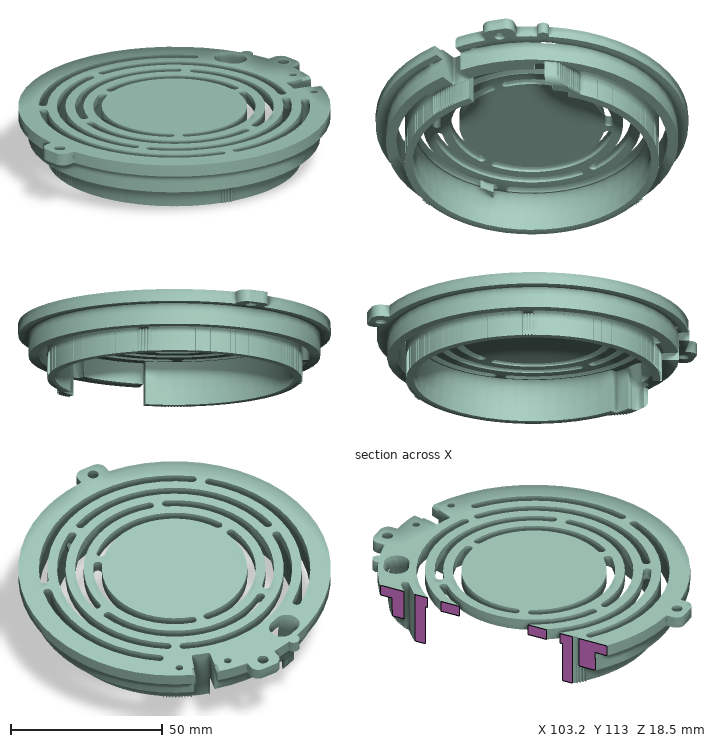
import cadquery as cq
import math

total_height = 18.5
flange_thickness = 4.0
body_height = 7.0
ring_height = total_height - flange_thickness - body_height
flange_bottom = total_height - flange_thickness

flange_radius = 51.6
body_radius = 48.2
cavity_radius = 39.4

tooth_count = 260
tooth_root_radius = 41.95
tooth_height = 0.6
tooth_share = 0.35

plate_thickness = 4.0
slot_width = 2.8
inner_slot_radius = 25.4
slot_pitch = 6.0
slot_angles = [
    [(84.8, 192.2), (204.9, 312.8), (325.2, 432.6)],
    [(14.8, 124.1), (134.2, 244.3), (254.5, 364.1)],
    [(63.9, 175.2), (184.0, 295.5), (304.0, 415.6)],
    [(127.5, 224.0), (231.5, 336.8), (344.3, 412.6)],
]

tab_width = 10.6
tab_reach = 56.5
tab_corner_radius = 3.0
tab_hole_offset = 52.6
tab_hole_diameter = 3.7
front_tab_x = 0.0
back_tab_x = -2.65

nub_radius = 2.0
nub_center = (-16.5, 49.1)

notch_angles = (66.9, 75.2)
notch_floor_radius = 42.1
notch_corner_radius = 0.8
notch_chamfer = 0.8

pilot_diameter = 2.5
pilot_centers = [(7.6, 47.1), (23.05, 41.85)]

cable_angle = 112.0
cable_top_radius = 45.5
cable_top_length = 11.0
cable_top_width = 8.4
cable_top_corner = 4.1
cable_bottom_radius = 43.9
cable_bottom_length = 6.4
cable_bottom_width = 3.9
cable_bottom_corner = 1.5
cable_bottom_shift = 1.9
guide_outer_radius = 47.3
guide_width = 4.0
guide_corner_radius = 3.0
guide_flank_angle = 127.0
guide_inner_angle = 112.0

gap_overlap = 2.0
gap_inner_radius = cavity_radius - gap_overlap
ring_gap_angles = (notch_angles[1], 114.0)
ring_gap_radius = 42.6
guide_recess_angles = (114.0, 122.0)
guide_recess_radius = 41.8

rib_outline = [(24.3, -26.2), (22.1, -32.9), (21.6, -32.9), (20.9, -29.8)]
rib_height = 3.0


def polar(radius, angle):
    """Point at a radius and an angle in degrees."""
    return (radius * math.cos(math.radians(angle)), radius * math.sin(math.radians(angle)))


def disc(radius, bottom, height):
    return cq.Workplane("XY").workplane(offset=bottom).circle(radius).extrude(height)


def toothed_ring():
    """Lower ring as a solid drum with square teeth around it."""
    pitch_angle = 360.0 / tooth_count
    tip_radius = tooth_root_radius + tooth_height
    outline = []
    for tooth in range(tooth_count):
        start = tooth * pitch_angle
        end = start + tooth_share * pitch_angle
        outline.append(polar(tooth_root_radius, start))
        outline.append(polar(tip_radius, start))
        outline.append(polar(tip_radius, end))
        outline.append(polar(tooth_root_radius, end))
    return cq.Workplane("XY").polyline(outline).close().extrude(ring_height)


def tab(center_x, side):
    """Rounded mounting tab; side is +1 at the back and -1 at the front."""
    inner_reach = body_radius
    outer_corners = ">Y" if side > 0 else "<Y"
    return (
        cq.Workplane("XY")
        .workplane(offset=flange_bottom)
        .center(center_x, side * (inner_reach + tab_reach) / 2)
        .rect(tab_width, tab_reach - inner_reach)
        .extrude(flange_thickness)
        .faces(outer_corners)
        .edges("|Z")
        .fillet(tab_corner_radius)
    )


def vertical_hole(center, diameter, bottom):
    return disc(diameter / 2, bottom, total_height - bottom).translate((*center, 0))


def curved_slot(radius, start, end):
    """Round-ended slot following a circle about the part axis."""
    half_width = slot_width / 2
    middle = (start + end) / 2
    inner = radius - half_width
    outer = radius + half_width
    tip = math.degrees(2 * math.asin(half_width / (2 * radius)))
    return (
        cq.Workplane("XY")
        .moveTo(*polar(inner, start))
        .threePointArc(polar(inner, middle), polar(inner, end))
        .threePointArc(polar(radius, end + tip), polar(outer, end))
        .threePointArc(polar(outer, middle), polar(outer, start))
        .threePointArc(polar(radius, start - tip), polar(inner, start))
        .close()
        .extrude(total_height)
    )


def notch():
    """Radial-sided notch through the full height."""
    low, high = notch_angles
    beyond = tab_reach
    return (
        cq.Workplane("XY")
        .moveTo(*polar(notch_floor_radius, low))
        .lineTo(*polar(beyond, low))
        .lineTo(*polar(beyond, high))
        .lineTo(*polar(notch_floor_radius, high))
        .threePointArc(polar(notch_floor_radius, (low + high) / 2), polar(notch_floor_radius, low))
        .close()
        .extrude(total_height)
        .edges("|Z")
        .fillet(notch_corner_radius)
    )


def notch_edge_chamfer(angle):
    """Triangular bar along a top edge of the notch, outside the body radius."""
    bar = (
        cq.Workplane("YZ")
        .workplane(offset=body_radius)
        .moveTo(-notch_chamfer, total_height)
        .lineTo(0, total_height - notch_chamfer)
        .lineTo(notch_chamfer, total_height)
        .close()
        .extrude(tab_reach - body_radius)
    )
    return bar.rotate((0, 0, 0), (0, 0, 1), angle)


def rounded_rectangle(length, width, corner):
    return cq.Sketch().rect(width, length).vertices().fillet(corner)


def cable_passage():
    """Oblique funnel from the flange top to the underside of the body."""
    top = rounded_rectangle(cable_top_length, cable_top_width, cable_top_corner)
    bottom = rounded_rectangle(cable_bottom_length, cable_bottom_width, cable_bottom_corner)
    bottom_place = cq.Location(cq.Vector(cable_bottom_radius, -cable_bottom_shift, ring_height))
    top_place = cq.Location(cq.Vector(cable_top_radius, 0, total_height))
    funnel = cq.Workplane("XY").placeSketch(bottom.moved(bottom_place), top.moved(top_place)).loft()
    outlet = (
        cq.Workplane("XY")
        .center(cable_bottom_radius, -cable_bottom_shift)
        .placeSketch(bottom)
        .extrude(ring_height)
    )
    return funnel.union(outlet).rotate((0, 0, 0), (0, 0, 1), cable_angle)


def cable_guide():
    """Block outside the ring: toothed flank, flat outer face with a rounded lower edge."""
    outer_center = cq.Vector(*polar(guide_outer_radius, cable_angle))
    along = cq.Vector(*polar(guide_width / 2, cable_angle + 90))
    flank_start = cq.Vector(*polar(tooth_root_radius, guide_flank_angle))
    flank_end = outer_center + along
    flank = flank_end - flank_start
    pitch = 2 * math.pi * tooth_root_radius / tooth_count
    flank_teeth = int(flank.Length / pitch)
    step = flank / flank_teeth
    rise = cq.Vector(-flank.y, flank.x).normalized() * tooth_height
    outline = [polar(cavity_radius, guide_flank_angle)]
    for tooth in range(flank_teeth):
        start = flank_start + step * tooth
        end = start + step * tooth_share
        for point in (start, start + rise, end + rise, end):
            outline.append(point.toTuple()[:2])
    outline.append(flank_end.toTuple()[:2])
    outline.append((outer_center - along).toTuple()[:2])
    outline.append(polar(cavity_radius, guide_inner_angle))
    block = cq.Workplane("XY").polyline(outline).close().extrude(ring_height)
    envelope = (
        cq.Workplane("XY")
        .box(guide_outer_radius, guide_outer_radius, ring_height, centered=(False, True, False))
        .faces(">X")
        .edges("<Z")
        .fillet(guide_corner_radius)
        .rotate((0, 0, 0), (0, 0, 1), cable_angle)
    )
    return block.intersect(envelope)


def cavity_recess(angles, outer_radius):
    """Sector that widens the cavity below the cover plate to a larger radius."""
    low, high = angles
    middle = (low + high) / 2
    return (
        cq.Workplane("XY")
        .moveTo(*polar(gap_inner_radius, low))
        .lineTo(*polar(outer_radius, low))
        .threePointArc(polar(outer_radius, middle), polar(outer_radius, high))
        .lineTo(*polar(gap_inner_radius, high))
        .close()
        .extrude(total_height - plate_thickness)
    )


def rib():
    plate_bottom = total_height - plate_thickness
    base = cq.Workplane("XY").workplane(offset=plate_bottom)
    return base.polyline(rib_outline).close().extrude(-rib_height)


result = toothed_ring()
result = result.union(disc(body_radius, ring_height, body_height))
result = result.union(disc(flange_radius, flange_bottom, flange_thickness))
result = result.union(tab(front_tab_x, -1)).union(tab(back_tab_x, 1))
result = result.union(disc(nub_radius, flange_bottom, flange_thickness).translate((*nub_center, 0)))
result = result.union(cable_guide())

result = result.cut(disc(cavity_radius, 0, total_height - plate_thickness))
for row, spans in enumerate(slot_angles):
    for start_angle, end_angle in spans:
        result = result.cut(curved_slot(inner_slot_radius + row * slot_pitch, start_angle, end_angle))
result = result.union(rib())

result = result.cut(cable_passage())
result = result.cut(cavity_recess(ring_gap_angles, ring_gap_radius))
result = result.cut(cavity_recess(guide_recess_angles, guide_recess_radius))
result = result.cut(notch())
for notch_angle in notch_angles:
    result = result.cut(notch_edge_chamfer(notch_angle))
for pilot_center in pilot_centers:
    result = result.cut(vertical_hole(pilot_center, pilot_diameter, flange_bottom))
for tab_hole in [(front_tab_x, -tab_hole_offset), (back_tab_x, tab_hole_offset)]:
    result = result.cut(vertical_hole(tab_hole, tab_hole_diameter, flange_bottom))